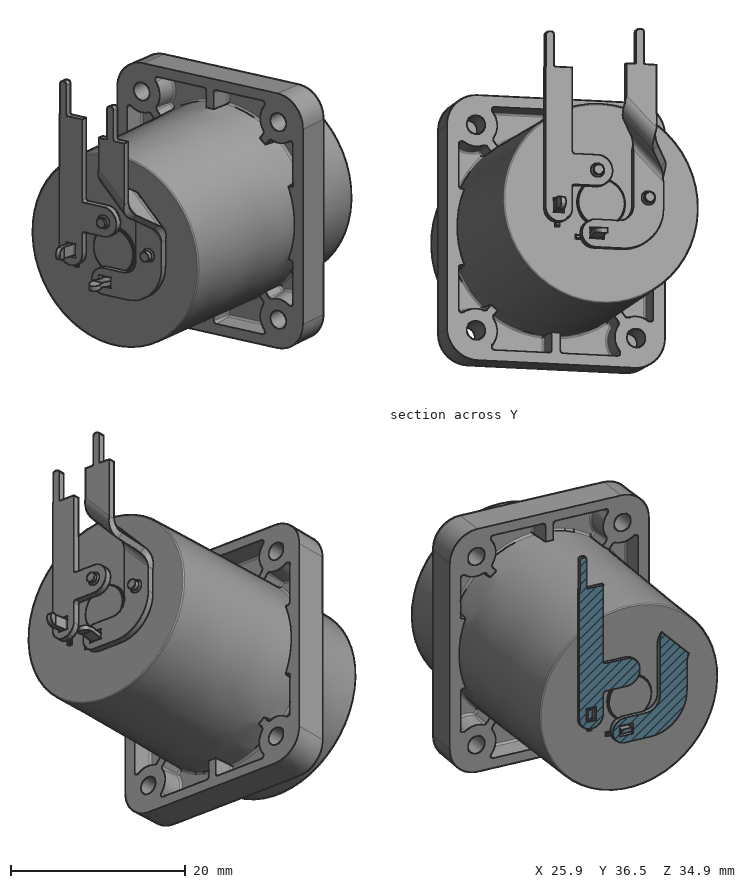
import cadquery as cq
import math


flange_width = 25.9
flange_height = 30.83
flange_thickness = 4.52
flange_corner = 3.6
flange_draft = 1.0
flange_rim_round = 0.35
hole_x = 9.5
hole_z = 11.95
hole_radius = 1.1
blind_hole_depth = 3.6

root_radius = 11.77
barrel_end_radius = 11.6
barrel_length = 19.1
barrel_end_round = 0.15
boss_end_radius = 11.62
boss_top = 11.85
boss_end_round = 0.22
boss_root_round = 0.4

pocket_depth = 2.55
pocket_draft = 5.0
pocket_corner_round = 0.35
pocket_floor_round = 0.25
pocket_side_x = 11.55
pocket_top_z = 14.15
pocket_end_z = 4.4
pocket_overlap = 1.28
hole_wall_radius = 2.5
half_rib = 0.5

plate = 0.85
low_gap = 0.2
high_gap = 0.4
pin_top = 19.5
pin_width = 0.9
pin_tip_round = 0.35
pin_root_round = 0.2
shoulder_z = flange_height / 2
hub_disc_radius = 2.85
hub_disc_edge = 0.1
hub_disc_height = 0.33
spacer_radius = 1.4

straight_left = -6.9
straight_right = -3.7
straight_foot_radius = (straight_right - straight_left) / 2
straight_foot_z = -0.95
straight_pin_left = -6.8
lug_half_width = 1.8
lug_corner_round = 0.3
lug_x = -0.73
lug_z = 3.6

bent_left = 3.6
bent_right = 7.18
bent_width = bent_right - bent_left
foot_x = -0.9
foot_radius = 1.6
foot_z = -3.68
turn_outer_radius = 4.8
turn_inner_radius = 1.8
turn_z = -0.47
bent_rivet_x = 5.35
bent_rivet_z = 0.7
fold_sum = 9.8
fold_inner_radius = 0.75
fold_straight = 2.1
fold_neutral_share = 0.3
fold_stations = 6
bent_pin_inset = 1.15

rivet_collar_radius = 0.8
rivet_radius = 0.6
rivet_collar_height = 0.2
rivet_end = 20.9
prong_half_width = 0.7
prong_thickness = 0.6
prong_kink_y = 21.57
prong_tip_y = 22.75
prong_lean = 0.22
slot_length = 1.68
slot_width = 1.28
straight_slot_x = -5.32
straight_slot_z = -0.7
straight_prong_x = -5.43
bent_slot_x = -0.73
bent_slot_z = -3.68
bent_prong_z = -3.8
stub_width = 0.5
stub_length = 1.1
stub_edge = 0.1
straight_stub_x = -5.2
straight_stub_z = -2.45
bent_stub_x = -2.5
bent_stub_z = -4.05

low_plate_y = -barrel_length - low_gap
high_plate_y = -barrel_length - high_gap
hole_reach = math.hypot(hole_x, hole_z)

fold_mid_radius = fold_inner_radius + plate / 2
fold_neutral_radius = fold_inner_radius + fold_neutral_share * plate
fold_run = 2 * fold_mid_radius
fold_rise = fold_run + fold_straight
fold_length = math.pi * fold_neutral_radius + fold_straight

pick_margin = 0.05


def end_plane(y):
    """Workplane facing -Y at the given y, with local axes X and Z."""
    return cq.Workplane("XZ", origin=(0, y, 0))


def make_flange():
    flange = (
        end_plane(0)
        .sketch()
        .rect(flange_width, flange_height)
        .vertices()
        .fillet(flange_corner)
        .finalize()
        .extrude(-flange_thickness, taper=flange_draft)
    )
    return flange.faces(">Y").edges().fillet(flange_rim_round)


def make_barrel():
    """Barrel, flange core and boss turned in one piece, blended into the pocket floors."""
    neck_end = pocket_depth - pocket_floor_round
    neck_radius = root_radius + (root_radius - barrel_end_radius) * neck_end / barrel_length
    barrel = (
        cq.Workplane("YZ")
        .moveTo(-barrel_length, 0)
        .lineTo(-barrel_length, barrel_end_radius)
        .lineTo(neck_end, neck_radius)
        .radiusArc((pocket_depth, neck_radius + pocket_floor_round), -pocket_floor_round)
        .lineTo(flange_thickness, root_radius)
        .lineTo(boss_top, boss_end_radius)
        .lineTo(boss_top, 0)
        .close()
        .revolve(360, (0, 0, 0), (1, 0, 0))
    )
    barrel = barrel.faces("<Y").edges().fillet(barrel_end_round)
    return barrel.faces(">Y").edges().fillet(boss_end_round)


def on_diagonal(distance, offset):
    """Point on the line from the axis to a screw hole, moved sideways by offset."""
    along_x = hole_x / hole_reach
    along_z = hole_z / hole_reach
    return (distance * along_x - offset * along_z, distance * along_z + offset * along_x)


def sink_pocket(outline):
    """Drafted pocket with rounded floor; its outline's inner corners lie inside the barrel."""
    wire = outline.close().val()
    corners = [v for v in wire.Vertices() if math.hypot(v.X, v.Z) > root_radius]
    rounded = wire.fillet2D(pocket_corner_round, corners)
    pocket = end_plane(0).add(rounded).toPending().extrude(-pocket_depth, taper=pocket_draft)
    return pocket.faces(">Y").edges().fillet(pocket_floor_round)


def make_pockets():
    """Pockets of the (+X, +Z) quadrant, mirrored to the other three."""
    arc_end = hole_reach - math.sqrt(hole_wall_radius**2 - half_rib**2)
    top_arc_x = hole_x - math.sqrt(hole_wall_radius**2 - (pocket_top_z - hole_z) ** 2)
    side_arc_z = hole_z - math.sqrt(hole_wall_radius**2 - (pocket_side_x - hole_x) ** 2)
    inner_radius = root_radius - pocket_overlap
    top_pocket = sink_pocket(
        end_plane(0)
        .moveTo(half_rib, inner_radius)
        .lineTo(half_rib, pocket_top_z)
        .lineTo(top_arc_x, pocket_top_z)
        .threePointArc((hole_x - hole_wall_radius, hole_z), on_diagonal(arc_end, half_rib))
        .lineTo(*on_diagonal(inner_radius, half_rib))
    )
    side_pocket = sink_pocket(
        end_plane(0)
        .moveTo(inner_radius, pocket_end_z)
        .lineTo(pocket_side_x, pocket_end_z)
        .lineTo(pocket_side_x, side_arc_z)
        .threePointArc((hole_x, hole_z - hole_wall_radius), on_diagonal(arc_end, -half_rib))
        .lineTo(*on_diagonal(inner_radius, -half_rib))
    )
    quadrant = top_pocket.union(side_pocket)
    upper_half = quadrant.union(quadrant.mirror("YZ"))
    return upper_half.union(upper_half.mirror("XY"))


def make_housing():
    housing = make_flange().cut(make_pockets()).union(make_barrel())
    root_reach = root_radius + pick_margin
    root_edge = cq.selectors.BoxSelector(
        (-root_reach, flange_thickness - pick_margin, -root_reach),
        (root_reach, flange_thickness + pick_margin, root_reach),
        boundingbox=True,
    )
    housing = housing.edges(root_edge).fillet(boss_root_round)
    for side_x in (1, -1):
        for side_z in (1, -1):
            passes_through = side_x == side_z
            depth = flange_thickness if passes_through else blind_hole_depth
            hole = end_plane(0).center(side_x * hole_x, side_z * hole_z).circle(hole_radius)
            housing = housing.cut(hole.extrude(-depth))
    return housing


def round_edges_at(terminal, x, z, radius):
    """Round the edge of a plate that runs along Y at the given x and z."""
    place = cq.selectors.BoxSelector(
        (x - pick_margin, -2 * barrel_length, z - pick_margin),
        (x + pick_margin, 0, z + pick_margin),
    )
    return terminal.edges("|Y").edges(place).fillet(radius)


def make_pin(y, left):
    """Solder pin standing on a terminal's shoulder, rounded at its tip."""
    pin = (
        end_plane(y)
        .center(left + pin_width / 2, shoulder_z)
        .rect(pin_width, 2 * (pin_top - shoulder_z))
        .extrude(plate)
    )
    return pin.edges("|Y and >Z").fillet(pin_tip_round)


def make_straight_terminal():
    foot_middle_x = (straight_left + straight_right) / 2
    terminal = (
        end_plane(high_plate_y)
        .moveTo(straight_left, shoulder_z)
        .lineTo(straight_left, straight_foot_z)
        .threePointArc(
            (foot_middle_x, straight_foot_z - straight_foot_radius),
            (straight_right, straight_foot_z),
        )
        .lineTo(straight_right, lug_z - lug_half_width)
        .lineTo(lug_x, lug_z - lug_half_width)
        .threePointArc((lug_x + lug_half_width, lug_z), (lug_x, lug_z + lug_half_width))
        .lineTo(straight_right, lug_z + lug_half_width)
        .lineTo(straight_right, shoulder_z)
        .close()
        .extrude(plate)
    )
    for corner_z in (lug_z - lug_half_width, lug_z + lug_half_width):
        terminal = round_edges_at(terminal, straight_right, corner_z, lug_corner_round)
    terminal = terminal.union(make_pin(high_plate_y, straight_pin_left))
    return round_edges_at(terminal, straight_pin_left + pin_width, shoulder_z, pin_root_round)


def fold_section(across, y, along_start, angle):
    """Rectangle through the strip: width along the fold line, thickness turned by angle."""
    half_across = plate / 2 * math.sin(angle)
    half_y = plate / 2 * math.cos(angle)
    along_end = along_start + bent_width * math.sqrt(2)
    points = []
    for side, along in ((1, along_start), (-1, along_start), (-1, along_end), (1, along_end)):
        point_across = across + side * half_across
        x = (point_across - along) / math.sqrt(2)
        z = (point_across + along) / math.sqrt(2)
        points.append(cq.Vector(x, y + side * half_y, z))
    return cq.Wire.makePolygon(points, close=True)


def make_fold():
    """Double right-angle fold on a 45 degree line; the strip creeps along the line as it rises."""
    across_start = fold_sum / math.sqrt(2)
    across_end = across_start + fold_run
    y_start = low_plate_y - plate / 2
    y_end = y_start - fold_rise
    along_start = (fold_sum - 2 * bent_right) / math.sqrt(2)
    along_end = along_start + fold_length
    lower_bend = []
    upper_bend = []
    for station in range(fold_stations + 1):
        angle = math.pi / 2 * station / fold_stations
        creep = fold_neutral_radius * angle
        run = fold_mid_radius * math.sin(angle)
        rise = fold_mid_radius * (1 - math.cos(angle))
        lower_bend.append(
            fold_section(across_start + run, y_start - rise, along_start + creep, angle)
        )
        upper_bend.append(fold_section(across_end - run, y_end + rise, along_end - creep, angle))
    fold = cq.Workplane(cq.Solid.makeLoft(lower_bend))
    fold = fold.union(cq.Workplane(cq.Solid.makeLoft([lower_bend[-1], upper_bend[-1]], True)))
    return fold.union(cq.Workplane(cq.Solid.makeLoft(upper_bend)))


def make_bent_terminal():
    lower = (
        end_plane(low_plate_y)
        .moveTo(bent_left, fold_sum - bent_left)
        .lineTo(bent_left, turn_z)
        .radiusArc((bent_left - turn_inner_radius, foot_z + foot_radius), turn_inner_radius)
        .lineTo(foot_x, foot_z + foot_radius)
        .threePointArc((foot_x - foot_radius, foot_z), (foot_x, foot_z - foot_radius))
        .lineTo(bent_right - turn_outer_radius, foot_z - foot_radius)
        .radiusArc((bent_right, turn_z), -turn_outer_radius)
        .lineTo(bent_right, fold_sum - bent_right)
        .close()
        .extrude(plate)
    )
    shift = (fold_length - fold_run) / math.sqrt(2)
    upper_sum = fold_sum + fold_run * math.sqrt(2)
    upper_y = low_plate_y - fold_rise
    left = bent_left - shift
    right = bent_right - shift
    upper = (
        end_plane(upper_y)
        .polyline([
            (left, upper_sum - left),
            (right, upper_sum - right),
            (right, shoulder_z),
            (left, shoulder_z),
        ])
        .close()
        .extrude(plate)
    )
    pin_left = left + bent_pin_inset
    upper = upper.union(make_pin(upper_y, pin_left))
    for pin_side in (pin_left, pin_left + pin_width):
        upper = round_edges_at(upper, pin_side, shoulder_z, pin_root_round)
    return lower.union(make_fold()).union(upper)


def make_rivet(x, z, plate_front):
    """Stem from the barrel through a plate, with a tapered collar on the plate."""
    return (
        cq.Workplane("XY")
        .polyline([
            (0, -barrel_length),
            (rivet_collar_radius, -barrel_length),
            (rivet_collar_radius, plate_front),
            (rivet_radius, plate_front - rivet_collar_height),
            (rivet_radius, -rivet_end),
            (0, -rivet_end),
        ])
        .close()
        .revolve(360, (0, 0, 0), (0, 1, 0))
        .translate((x, 0, z))
    )


def make_prong(x, z, turn):
    """Flat bent finger with a rounded tip, turned about its own axis along Y."""
    half = prong_thickness / 2
    bend = (
        cq.Workplane("XY")
        .polyline([
            (-half, -barrel_length),
            (-half, low_plate_y - plate),
            (-half - prong_lean, -prong_kink_y),
            (-half, -prong_tip_y),
            (half, -prong_tip_y),
            (half - prong_lean, -prong_kink_y),
            (half, low_plate_y - plate),
            (half, -barrel_length),
        ])
        .close()
        .extrude(prong_half_width, both=True)
    )
    tip_start = -prong_tip_y + prong_half_width
    face = (
        cq.Workplane("YZ")
        .moveTo(-barrel_length, -prong_half_width)
        .lineTo(tip_start, -prong_half_width)
        .threePointArc((-prong_tip_y, 0), (tip_start, prong_half_width))
        .lineTo(-barrel_length, prong_half_width)
        .close()
        .extrude(prong_thickness + prong_lean, both=True)
    )
    return bend.intersect(face).rotate((0, 0, 0), (0, 1, 0), turn).translate((x, 0, z))


def make_slot(x, z, size_x, size_z):
    return end_plane(-barrel_length).center(x, z).rect(size_x, size_z).extrude(2 * plate)


def make_stub(x, z, size_x, size_z, height):
    """Small support under the rounded end of a terminal."""
    stub = end_plane(-barrel_length).center(x, z).rect(size_x, size_z).extrude(height)
    return stub.faces("<Y").edges().chamfer(stub_edge)


straight_slot = make_slot(straight_slot_x, straight_slot_z, slot_width, slot_length)
bent_slot = make_slot(bent_slot_x, bent_slot_z, slot_length, slot_width)
hub_disc = end_plane(-barrel_length).circle(hub_disc_radius).extrude(hub_disc_height)
hub_disc = hub_disc.faces("<Y").edges().chamfer(hub_disc_edge)
spacer = end_plane(-barrel_length).center(lug_x, lug_z).circle(spacer_radius).extrude(high_gap)

result = make_housing().union(hub_disc).union(spacer)
result = result.union(make_straight_terminal().cut(straight_slot))
result = result.union(make_bent_terminal().cut(bent_slot))
result = result.union(make_rivet(lug_x, lug_z, high_plate_y - plate))
result = result.union(make_rivet(bent_rivet_x, bent_rivet_z, low_plate_y - plate))
result = result.union(make_prong(straight_prong_x, straight_slot_z, 0))
result = result.union(make_prong(bent_slot_x, bent_prong_z, 90))
result = result.union(
    make_stub(straight_stub_x, straight_stub_z, stub_width, stub_length, high_gap)
)
result = result.union(make_stub(bent_stub_x, bent_stub_z, stub_length, stub_width, low_gap))